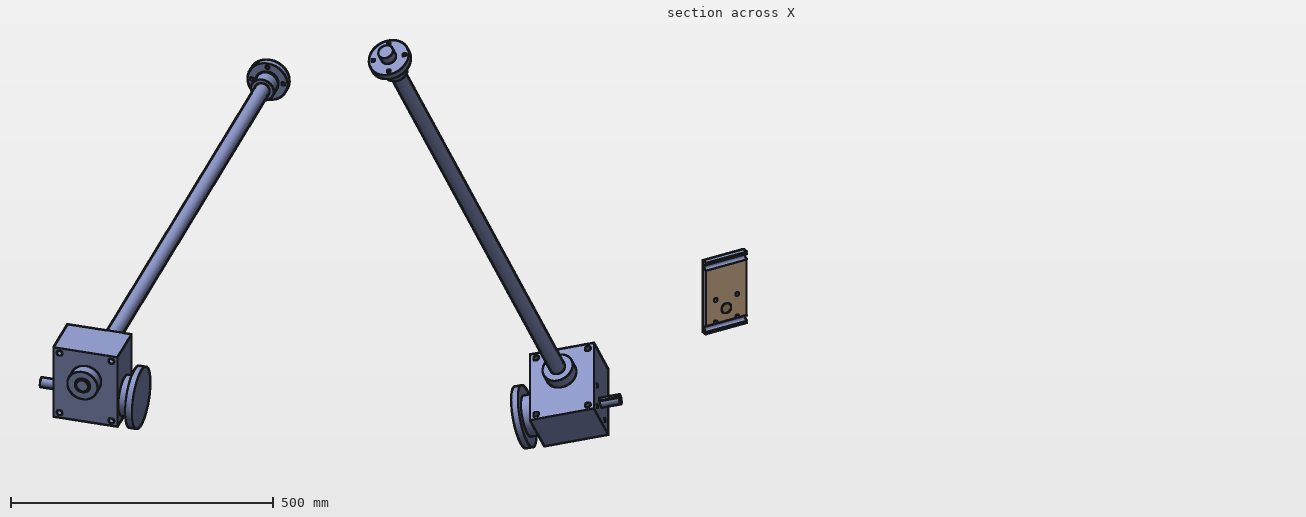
import cadquery as cq
import math


HOUSING_WIDTH = 128.0
HOUSING_DEPTH = 91.0
HOUSING_HEIGHT = 154.0
HOUSING_CENTRE_X = -1.0
SCREW_AXIS_TO_TOP = 60.0
BOSS_DIAMETER = 60.0
BOSS_LENGTH = 23.0
MOUNT_HOLE_DIAMETER = 11.0
MOUNT_HOLE_SPACING_X = 103.0
MOUNT_HOLE_SPACING_Z = 131.0
TAPPED_HOLE_DIAMETER = 7.0
TAPPED_HOLE_SPACING = 48.0
TAPPED_HOLE_DEPTH = 15.0

AXIS_DISTANCE = 49.0
WORM_DIAMETER = 20.0
WORM_PROTRUSION = 38.0
WORM_SOCKET_DEPTH = 37.0
KEY_WIDTH = 6.0
KEY_PROTRUSION = 2.0
KEY_SETBACK = 4.0
CENTRE_HOLE_DIAMETER = 5.0
CENTRE_HOLE_DEPTH = 10.0

MOTOR_HUB_DIAMETER = 80.0
MOTOR_HUB_LENGTH = 20.0
MOTOR_DISC_DIAMETER = 120.0
MOTOR_DISC_THICKNESS = 14.0

SCREW_LENGTH = 1228.0
SCREW_DIAMETER = 30.0
SCREW_END_DIAMETER = 25.0
SCREW_OVERHANG = 1.0
SCREW_TIP_LENGTH = 20.0

NUT_LENGTH = 48.0
NUT_SLEEVE_DIAMETER = 45.0
NUT_FLANGE_DIAMETER = 80.0
NUT_FLANGE_THICKNESS = 15.0
NUT_NECK_DIAMETER = 44.0
NUT_NECK_LENGTH = 4.0
NUT_HOLE_DIAMETER = 7.0
NUT_HOLE_COUNT = 4
NUT_HOLE_CIRCLE = 63.0

HOUSING_CENTRE_Z = SCREW_AXIS_TO_TOP - HOUSING_HEIGHT / 2
LEFT_FACE = HOUSING_CENTRE_X - HOUSING_WIDTH / 2
RIGHT_FACE = HOUSING_CENTRE_X + HOUSING_WIDTH / 2
BOSS_SPAN = HOUSING_DEPTH + 2 * BOSS_LENGTH
BOSS_FRONT = -BOSS_SPAN / 2
WORM_Z = -AXIS_DISTANCE
WORM_START = LEFT_FACE - WORM_PROTRUSION
SCREW_START = BOSS_FRONT - SCREW_OVERHANG
NUT_END = SCREW_START + SCREW_LENGTH - SCREW_TIP_LENGTH
NUT_START = NUT_END - NUT_LENGTH
NUT_FLANGE_START = NUT_END - NUT_FLANGE_THICKNESS


def cylinder_along_x(diameter, start, length, y=0.0, z=WORM_Z):
    """Cylinder running towards +X, on the worm axis unless placed elsewhere."""
    solid = cq.Solid.makeCylinder(diameter / 2, length, cq.Vector(start, y, z), cq.Vector(1, 0, 0))
    return cq.Workplane(obj=solid)


def cylinder_along_y(diameter, start, length, x=0.0, z=0.0):
    """Cylinder running towards +Y, on the screw axis unless placed elsewhere."""
    solid = cq.Solid.makeCylinder(diameter / 2, length, cq.Vector(x, start, z), cq.Vector(0, 1, 0))
    return cq.Workplane(obj=solid)


def cut_mount_holes(body):
    """Four holes through the housing corners, front to back."""
    for side in (-1, 1):
        for level in (-1, 1):
            x = HOUSING_CENTRE_X + side * MOUNT_HOLE_SPACING_X / 2
            z = HOUSING_CENTRE_Z + level * MOUNT_HOLE_SPACING_Z / 2
            hole = cylinder_along_y(MOUNT_HOLE_DIAMETER, -HOUSING_DEPTH / 2, HOUSING_DEPTH, x, z)
            body = body.cut(hole)
    return body


def cut_tapped_holes(body):
    """Four blind holes in the left face, in a square round the worm shaft."""
    for side in (-1, 1):
        for level in (-1, 1):
            y = side * TAPPED_HOLE_SPACING / 2
            z = WORM_Z + level * TAPPED_HOLE_SPACING / 2
            body = body.cut(cylinder_along_x(TAPPED_HOLE_DIAMETER, LEFT_FACE, TAPPED_HOLE_DEPTH, y, z))
    return body


def make_housing():
    body = cq.Workplane().box(HOUSING_WIDTH, HOUSING_DEPTH, HOUSING_HEIGHT)
    body = body.translate((HOUSING_CENTRE_X, 0, HOUSING_CENTRE_Z))
    body = body.union(cylinder_along_y(BOSS_DIAMETER, BOSS_FRONT, BOSS_SPAN))
    body = body.cut(cylinder_along_y(SCREW_DIAMETER, BOSS_FRONT, BOSS_SPAN))
    body = body.cut(cylinder_along_x(WORM_DIAMETER, LEFT_FACE, WORM_SOCKET_DEPTH))
    return cut_tapped_holes(cut_mount_holes(body))


def make_worm_shaft():
    shaft = cylinder_along_x(WORM_DIAMETER, WORM_START, WORM_PROTRUSION + WORM_SOCKET_DEPTH)
    key_length = WORM_PROTRUSION - KEY_SETBACK
    key_reach = WORM_DIAMETER / 2 + KEY_PROTRUSION
    key = cq.Workplane().box(key_length, key_reach, KEY_WIDTH, centered=(False, False, True))
    shaft = shaft.union(key.translate((WORM_START + KEY_SETBACK, 0, WORM_Z)))
    return shaft.cut(cylinder_along_x(CENTRE_HOLE_DIAMETER, WORM_START, CENTRE_HOLE_DEPTH))


def make_motor_flange():
    hub = cylinder_along_x(MOTOR_HUB_DIAMETER, RIGHT_FACE, MOTOR_HUB_LENGTH)
    disc_start = RIGHT_FACE + MOTOR_HUB_LENGTH
    return hub.union(cylinder_along_x(MOTOR_DISC_DIAMETER, disc_start, MOTOR_DISC_THICKNESS))


def make_screw():
    screw = cylinder_along_y(SCREW_DIAMETER, SCREW_START, SCREW_LENGTH)
    return screw.faces("<Y").chamfer((SCREW_DIAMETER - SCREW_END_DIAMETER) / 2)


def make_nut():
    sleeve_length = NUT_LENGTH - NUT_FLANGE_THICKNESS - NUT_NECK_LENGTH
    neck_start = NUT_START + sleeve_length
    nut = cylinder_along_y(NUT_SLEEVE_DIAMETER, NUT_START, sleeve_length)
    nut = nut.union(cylinder_along_y(NUT_NECK_DIAMETER, neck_start, NUT_NECK_LENGTH))
    nut = nut.union(cylinder_along_y(NUT_FLANGE_DIAMETER, NUT_FLANGE_START, NUT_FLANGE_THICKNESS))
    nut = nut.cut(cylinder_along_y(SCREW_DIAMETER, NUT_START, NUT_LENGTH))
    for index in range(NUT_HOLE_COUNT):
        angle = 2 * math.pi * index / NUT_HOLE_COUNT
        x = NUT_HOLE_CIRCLE / 2 * math.cos(angle)
        z = NUT_HOLE_CIRCLE / 2 * math.sin(angle)
        nut = nut.cut(cylinder_along_y(NUT_HOLE_DIAMETER, NUT_FLANGE_START, NUT_FLANGE_THICKNESS, x, z))
    return nut


housing = make_housing()
worm_shaft = make_worm_shaft()
motor_flange = make_motor_flange()
screw = make_screw()
nut = make_nut()

result = cq.Compound.makeCompound(
    [housing.val(), worm_shaft.val(), motor_flange.val(), screw.val(), nut.val()]
)